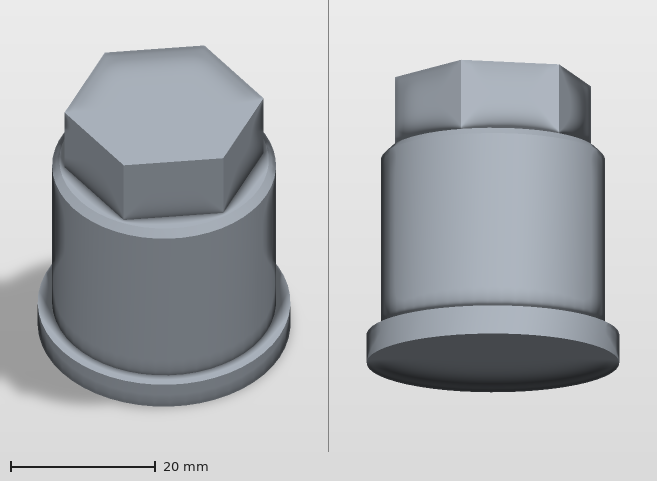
import cadquery as cq
import math

total_height = 40.0
flange_diameter = 35.0
flange_height = 4.0

body_diameter = 31.0
body_top = 30.0
body_chamfer = 1.0

hex_across_flats = 24.0
hex_across_corners = hex_across_flats / math.cos(math.pi / 6)
hex_height = total_height - body_top

flange = cq.Workplane("XY").circle(flange_diameter / 2).extrude(flange_height)

body = (
    cq.Workplane("XY")
    .circle(body_diameter / 2)
    .extrude(body_top)
    .faces(">Z")
    .edges()
    .chamfer(body_chamfer)
)

head = (
    cq.Workplane("XY")
    .workplane(offset=body_top)
    .transformed(rotate=(0, 0, 90))
    .polygon(6, hex_across_corners)
    .extrude(hex_height)
)

result = flange.union(body).union(head)